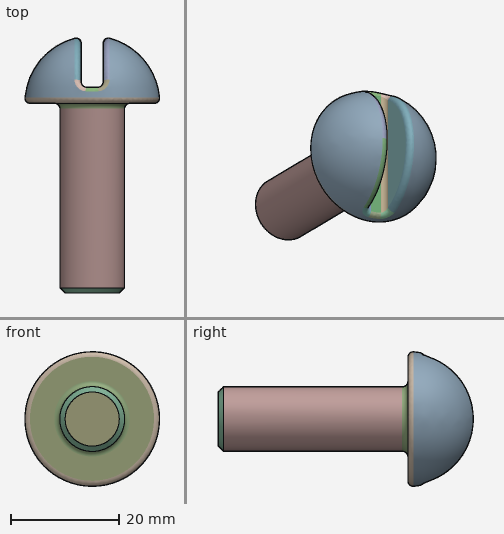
import cadquery as cq

head_radius = 12.5
shank_radius = 6.0
shank_length = 35.0
edge_size = 1.0
slot_width = 4.0
slot_floor_height = 3.0


def make_body():
    """Revolve the hemispherical head and shank; the head underside lies at Y = 0."""
    half_profile = (
        cq.Workplane("XY")
        .moveTo(0, head_radius)
        .radiusArc((head_radius, 0), head_radius)
        .lineTo(shank_radius + edge_size, 0)
        .radiusArc((shank_radius, -edge_size), -edge_size)
        .lineTo(shank_radius, edge_size - shank_length)
        .lineTo(shank_radius - edge_size, -shank_length)
        .lineTo(0, -shank_length)
        .close()
    )
    body = half_profile.revolve(360, (0, 0, 0), (0, 1, 0))
    rim = cq.selectors.RadiusNthSelector(-1)
    return body.faces(cq.selectors.NearestToPointSelector((head_radius, 0, 0))).edges(rim).fillet(edge_size)


def make_slot_cutter():
    """Bar running along Z with rounded lower corners."""
    slot_top = head_radius + edge_size
    return (
        cq.Workplane("XY")
        .center(0, (slot_floor_height + slot_top) / 2)
        .rect(slot_width, slot_top - slot_floor_height)
        .extrude(head_radius + edge_size, both=True)
        .edges("|Z and <Y")
        .fillet(edge_size)
    )


def round_slot_edges(screw):
    """Round the edges where the slot walls and floor meet the dome."""
    margin = 0.05
    slot_region = cq.selectors.BoxSelector(
        (-slot_width / 2 - margin, slot_floor_height - margin, -head_radius),
        (slot_width / 2 + margin, head_radius, head_radius),
        boundingbox=True,
    )
    return screw.edges(slot_region - cq.selectors.ParallelDirSelector(cq.Vector(0, 0, 1))).fillet(edge_size)


result = round_slot_edges(make_body().cut(make_slot_cutter()))